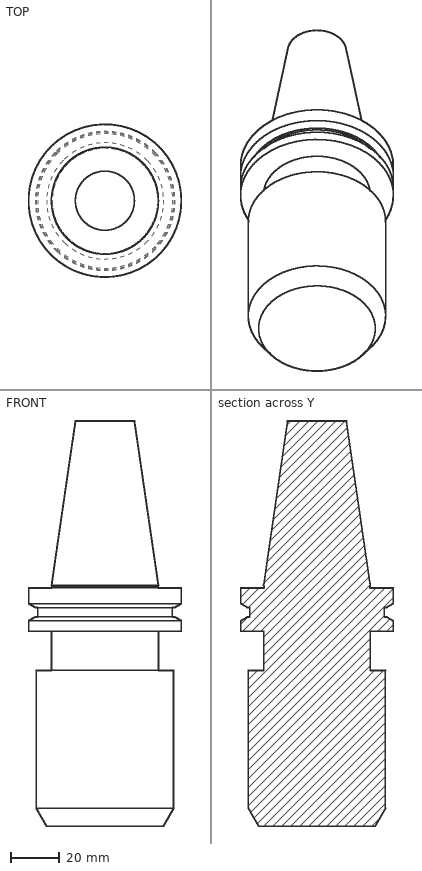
import cadquery as cq
import math


gauge_diameter = 44.45
taper_ratio = 7 / 24
taper_length = 68.25

relief_diameter = 43.85
relief_height = 1.0
relief_lead_in = 0.5

flange_diameter = 63.5
flange_bottom_z = -19.05
groove_floor_diameter = 56.0
groove_center_z = -11.1
groove_mouth_width = 7.05
groove_slot_width = 3.85
groove_flank_angle = 30.0

neck_diameter = gauge_diameter
projection = 100.0
body_diameter = 57.1
body_length = 64.75
nose_length = 7.5
nose_angle = 30.0

gauge_radius = gauge_diameter / 2
taper_tip_radius = gauge_radius - taper_ratio * taper_length / 2
relief_radius = relief_diameter / 2
flange_radius = flange_diameter / 2
flange_top_z = -relief_height
groove_floor_radius = groove_floor_diameter / 2
neck_radius = neck_diameter / 2
body_radius = body_diameter / 2
nose_radius = body_radius - nose_length * math.tan(math.radians(nose_angle))
nose_bottom_z = -projection
nose_top_z = nose_bottom_z + nose_length
body_top_z = nose_bottom_z + body_length


def turned(profile):
    """Revolve a closed (radius, z) profile about the Z axis."""
    return cq.Workplane("XZ").polyline(profile).close().revolve(360, (0, 0, 0), (0, 1, 0))


def make_holder():
    """Taper, relief, flange, neck and body as one turned solid."""
    return turned([
        (0, nose_bottom_z),
        (nose_radius, nose_bottom_z),
        (body_radius, nose_top_z),
        (body_radius, body_top_z),
        (neck_radius, body_top_z),
        (neck_radius, flange_bottom_z),
        (flange_radius, flange_bottom_z),
        (flange_radius, flange_top_z),
        (relief_radius, flange_top_z),
        (relief_radius, -relief_lead_in),
        (gauge_radius, 0),
        (taper_tip_radius, taper_length),
        (0, taper_length),
    ])


def make_gripper_groove():
    """Ring that cuts the gripper groove: V flanks that end at a narrower square slot."""
    half_mouth = groove_mouth_width / 2
    half_slot = groove_slot_width / 2
    flank_depth = (half_mouth - half_slot) / math.tan(math.radians(groove_flank_angle))
    shelf_radius = flange_radius - flank_depth
    return turned([
        (groove_floor_radius, groove_center_z - half_slot),
        (shelf_radius, groove_center_z - half_slot),
        (flange_radius, groove_center_z - half_mouth),
        (flange_radius, groove_center_z + half_mouth),
        (shelf_radius, groove_center_z + half_slot),
        (groove_floor_radius, groove_center_z + half_slot),
    ])


result = make_holder().cut(make_gripper_groove())